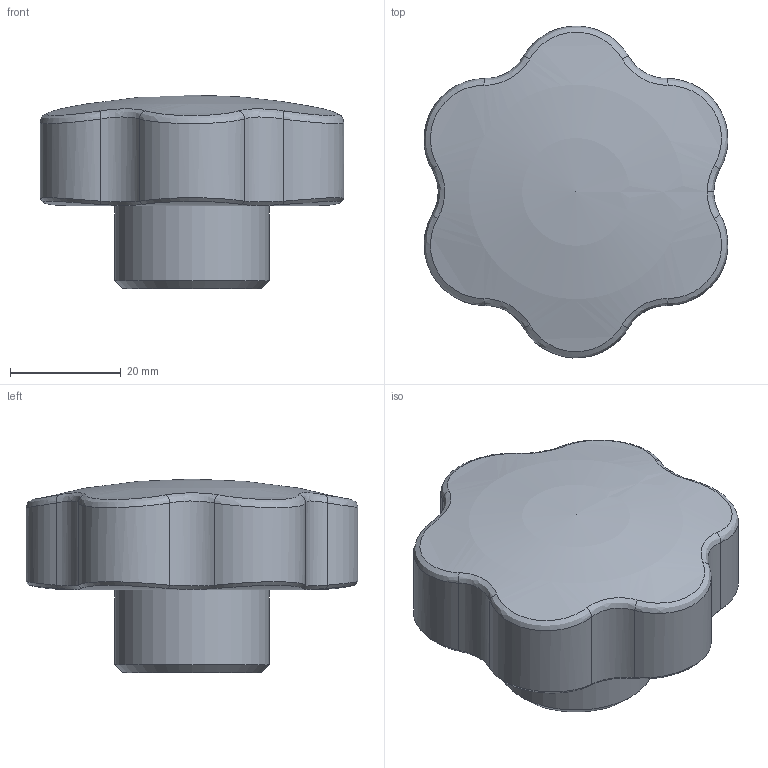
import cadquery as cq
import math


LOBE_COUNT = 6
LOBE_PITCH = 360 / LOBE_COUNT
TIP_RADIUS = 30.0
LOBE_RADIUS = 11.0
VALLEY_RADIUS = 8.0
LOBE_CENTRE_RADIUS = TIP_RADIUS - LOBE_RADIUS
FIRST_LOBE_ANGLE = 90

TOTAL_HEIGHT = 35.0
HEAD_BASE_Z = 15.0

DOME_RADIUS = 115.0
UNDERSIDE_RING_RADIUS = 21.5
UNDERSIDE_ARC_RADIUS = 40.0

TOP_FILLET = 1.5
UNDERSIDE_CHAMFER = 0.55

HUB_DIAMETER = 28.0
HUB_CHAMFER = 1.5

STOCK_RADIUS = TIP_RADIUS + 1.0


def polar(radius, angle_deg):
    angle = math.radians(angle_deg)
    return (radius * math.cos(angle), radius * math.sin(angle))


def valley_centre():
    """Distance from the axis to the centre of a valley arc tangent to both its lobes."""
    half_pitch = math.radians(LOBE_PITCH / 2)
    along_valley = LOBE_CENTRE_RADIUS * math.cos(half_pitch)
    across_valley = LOBE_CENTRE_RADIUS * math.sin(half_pitch)
    return along_valley + math.sqrt((LOBE_RADIUS + VALLEY_RADIUS) ** 2 - across_valley**2)


def tangent_point():
    """Radius and angle, from the lobe's own direction, where a lobe arc meets a valley arc."""
    valley_x, valley_y = polar(valley_centre(), LOBE_PITCH / 2)
    lobe_share = LOBE_RADIUS / (LOBE_RADIUS + VALLEY_RADIUS)
    along_lobe = LOBE_CENTRE_RADIUS + lobe_share * (valley_x - LOBE_CENTRE_RADIUS)
    across_lobe = lobe_share * valley_y
    radius = math.hypot(along_lobe, across_lobe)
    return radius, math.degrees(math.atan2(across_lobe, along_lobe))


def lobed_prism():
    """Prism whose outline is tangent convex lobes and concave valleys."""
    tangent_radius, tangent_angle = tangent_point()
    valley_bottom_radius = valley_centre() - VALLEY_RADIUS

    outline = cq.Workplane("XY").moveTo(*polar(tangent_radius, FIRST_LOBE_ANGLE - tangent_angle))
    for i in range(LOBE_COUNT):
        lobe_angle = FIRST_LOBE_ANGLE + i * LOBE_PITCH
        next_lobe_angle = lobe_angle + LOBE_PITCH
        outline = outline.threePointArc(
            polar(TIP_RADIUS, lobe_angle),
            polar(tangent_radius, lobe_angle + tangent_angle),
        ).threePointArc(
            polar(valley_bottom_radius, lobe_angle + LOBE_PITCH / 2),
            polar(tangent_radius, next_lobe_angle - tangent_angle),
        )
    return outline.close().extrude(TOTAL_HEIGHT)


def dome_height(radius):
    return TOTAL_HEIGHT - DOME_RADIUS + math.sqrt(DOME_RADIUS**2 - radius**2)


def underside_height(radius):
    offset = radius - UNDERSIDE_RING_RADIUS
    return HEAD_BASE_Z + UNDERSIDE_ARC_RADIUS - math.sqrt(UNDERSIDE_ARC_RADIUS**2 - offset**2)


def turned_stock():
    """Body of revolution bounded by the dome above and the bulged underside below."""
    hub_radius = HUB_DIAMETER / 2
    mid_radius = STOCK_RADIUS / 2
    return (
        cq.Workplane("XZ")
        .moveTo(0, underside_height(hub_radius))
        .lineTo(hub_radius, underside_height(hub_radius))
        .threePointArc(
            (UNDERSIDE_RING_RADIUS, HEAD_BASE_Z),
            (STOCK_RADIUS, underside_height(STOCK_RADIUS)),
        )
        .lineTo(STOCK_RADIUS, dome_height(STOCK_RADIUS))
        .threePointArc((mid_radius, dome_height(mid_radius)), (0, TOTAL_HEIGHT))
        .close()
        .revolve(360, (0, 0), (0, 1))
    )


def head():
    """Lobed head with its upper rim rounded and its lower rim chamfered."""
    body = lobed_prism().intersect(turned_stock())
    body = body.faces(">Z").edges().fillet(TOP_FILLET)
    lower_rim = cq.selectors.BoxSelector(
        (-STOCK_RADIUS, -STOCK_RADIUS, HEAD_BASE_Z),
        (STOCK_RADIUS, STOCK_RADIUS, underside_height(STOCK_RADIUS)),
    )
    return body.edges(lower_rim).edges("not %CIRCLE").chamfer(UNDERSIDE_CHAMFER)


def hub():
    """Cylinder that reaches up to the head's underside, with a chamfered free end."""
    hub_radius = HUB_DIAMETER / 2
    cylinder = cq.Workplane("XY").circle(hub_radius).extrude(underside_height(hub_radius))
    return cylinder.faces("<Z").chamfer(HUB_CHAMFER)


result = head().union(hub())